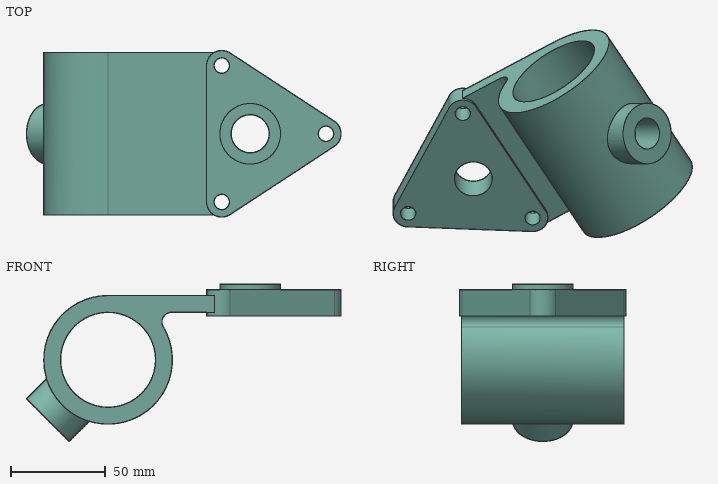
import cadquery as cq
import math

sleeve_radius = 34.0
bore_radius = 25.0
sleeve_length = 86.0

arm_thickness = 9.0
arm_fillet_radius = 5.0

flange_rise = 3.0
flange_thickness = 14.0
corner_radius = 8.0
bolt_hole_diameter = 8.0
rear_bolt_x = 60.0
rear_bolt_y = 36.0
tip_bolt_x = 115.0
bolt_centres = [(rear_bolt_x, -rear_bolt_y), (tip_bolt_x, 0.0), (rear_bolt_x, rear_bolt_y)]

boss_x = 75.0
boss_diameter = 32.0
boss_height = 3.0
boss_hole_diameter = 20.0

spigot_angle = 45.0
spigot_diameter = 32.0
spigot_hole_diameter = 16.38
spigot_reach = 45.0

arm_top = sleeve_radius
arm_bottom = arm_top - arm_thickness
flange_top = arm_top + flange_rise
flange_bottom = flange_top - flange_thickness
boss_top = flange_top + boss_height


def cylinder_along_y(radius, length):
    return cq.Workplane("XZ").circle(radius).extrude(length / 2, both=True)


def make_arm():
    """Plate from the sleeve to the flange, with a fillet into the sleeve underneath."""
    fillet_z = arm_bottom - arm_fillet_radius
    centre_distance = sleeve_radius + arm_fillet_radius
    fillet_x = math.sqrt(centre_distance**2 - fillet_z**2)
    tangent_scale = sleeve_radius / centre_distance
    tangent_point = (fillet_x * tangent_scale, fillet_z * tangent_scale)
    mid_angle = (math.pi / 2 + math.pi + math.atan2(fillet_z, fillet_x)) / 2
    fillet_mid = (
        fillet_x + arm_fillet_radius * math.cos(mid_angle),
        fillet_z + arm_fillet_radius * math.sin(mid_angle),
    )
    return (
        cq.Workplane("XZ")
        .moveTo(0, 0)
        .lineTo(0, arm_top)
        .lineTo(rear_bolt_x, arm_top)
        .lineTo(rear_bolt_x, arm_bottom)
        .lineTo(fillet_x, arm_bottom)
        .threePointArc(fillet_mid, tangent_point)
        .close()
        .extrude(sleeve_length / 2, both=True)
    )


def make_flange():
    """Rounded triangle: a sharp triangle through the bolt centres plus its outward offset."""
    return (
        cq.Workplane("XY")
        .workplane(offset=flange_bottom)
        .polyline(bolt_centres)
        .close()
        .offset2D(corner_radius, "arc")
        .extrude(flange_thickness)
    )


def make_boss():
    return (
        cq.Workplane("XY", origin=(boss_x, 0, flange_bottom))
        .circle(boss_diameter / 2)
        .extrude(boss_top - flange_bottom)
    )


def spigot_cylinder(diameter):
    """Cylinder from the sleeve axis out to the end face of the spigot."""
    angle = math.radians(spigot_angle)
    axis = cq.Vector(-math.cos(angle), 0, -math.sin(angle))
    plane = cq.Plane(origin=(0, 0, 0), xDir=(0, 1, 0), normal=axis.toTuple())
    return cq.Workplane(plane).circle(diameter / 2).extrude(spigot_reach)


def flange_holes():
    """Cutters for the bolt holes and the boss hole, through the full height."""
    depth = boss_top - flange_bottom
    base = cq.Workplane("XY", origin=(0, 0, flange_bottom))
    bolt_holes = base.pushPoints(bolt_centres).circle(bolt_hole_diameter / 2).extrude(depth)
    boss_hole = base.center(boss_x, 0).circle(boss_hole_diameter / 2).extrude(depth)
    return bolt_holes.union(boss_hole)


body = cylinder_along_y(sleeve_radius, sleeve_length)
body = body.union(make_arm())
body = body.union(make_flange())
body = body.union(make_boss())
body = body.union(spigot_cylinder(spigot_diameter))

body = body.cut(cylinder_along_y(bore_radius, sleeve_length))
body = body.cut(spigot_cylinder(spigot_hole_diameter))
result = body.cut(flange_holes())